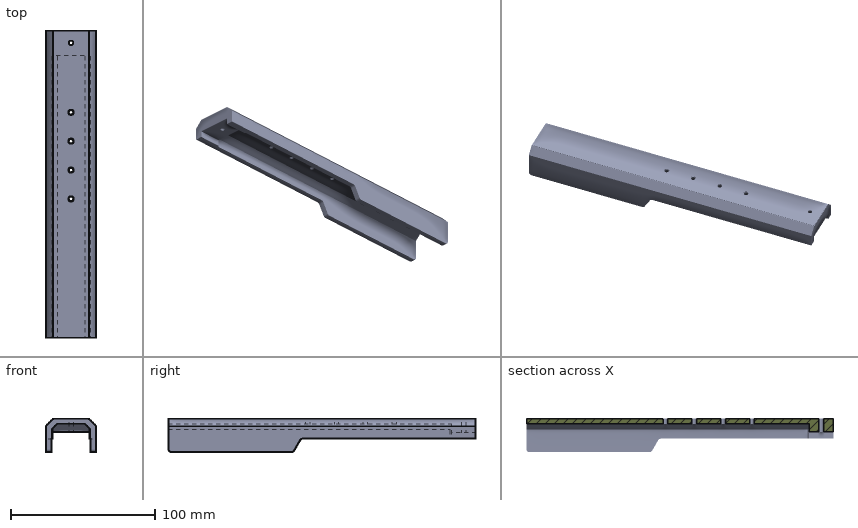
import cadquery as cq
import math

LENGTH = 213.0
WIDTH = 35.0
HEIGHT = 23.29
PAD_THICKNESS = 0.2
BODY_HEIGHT = HEIGHT - PAD_THICKNESS

WALL = 4.0
ROOF = 3.79
EDGE_CHAMFER = 5.0
INNER_CHAMFER = 3.8

SHALLOW_HEIGHT = 14.0
STEP_START_Y = -14.5
STEP_ANGLE = 60.0
STEP_RADIUS = 2.0
FRONT_CORNER_RADIUS = 2.0

END_BLOCK_LENGTH = 17.0
END_SLOT_WIDTH = 25.0
END_ROOF = 9.5

PAD_INSET = 0.2
PAD_HOLE_DIAMETER = 3.8

HOLE_DIAMETER = 3.0
END_HOLE_FROM_REAR = 8.5
FIRST_ROW_HOLE_FROM_REAR = 56.6
ROW_HOLE_PITCH = 20.0
ROW_HOLE_COUNT = 4

FRONT_Y = -LENGTH / 2
REAR_Y = LENGTH / 2
SHALLOW_Z = HEIGHT - SHALLOW_HEIGHT
STEP_END_Y = STEP_START_Y - SHALLOW_Z / math.tan(math.radians(STEP_ANGLE))
PAD_WIDTH = WIDTH - 2 * (EDGE_CHAMFER + PAD_INSET)
PAD_LENGTH = LENGTH - 2 * PAD_INSET
CAVITY_WIDTH = WIDTH - 2 * WALL
ROW_HOLE_POINTS = [
    (0, REAR_Y - FIRST_ROW_HOLE_FROM_REAR - i * ROW_HOLE_PITCH)
    for i in range(ROW_HOLE_COUNT)
]
HOLE_POINTS = [(0, REAR_Y - END_HOLE_FROM_REAR)] + ROW_HOLE_POINTS


def nearest_to(y, z):
    """Selector for the crosswise edge closest to a point of the side profile."""
    return cq.selectors.NearestToPointSelector((0, y, z))


def outer_body():
    """Solid bar with the stepped side profile and chamfered top edges."""
    body = (
        cq.Workplane("YZ")
        .polyline([
            (FRONT_Y, 0),
            (STEP_END_Y, 0),
            (STEP_START_Y, SHALLOW_Z),
            (REAR_Y, SHALLOW_Z),
            (REAR_Y, BODY_HEIGHT),
            (FRONT_Y, BODY_HEIGHT),
        ])
        .close()
        .extrude(WIDTH / 2, both=True)
    )
    body = body.edges(nearest_to(FRONT_Y, 0)).fillet(FRONT_CORNER_RADIUS)
    body = body.edges(nearest_to(STEP_END_Y, 0)).fillet(STEP_RADIUS)
    body = body.edges(nearest_to(STEP_START_Y, SHALLOW_Z)).fillet(STEP_RADIUS)
    return body.edges("|Y and >Z").chamfer(EDGE_CHAMFER)


def top_pad():
    """Thin raised pad with wider openings around the row of holes."""
    return (
        cq.Workplane("XY")
        .workplane(offset=BODY_HEIGHT)
        .rect(PAD_WIDTH, PAD_LENGTH)
        .pushPoints(ROW_HOLE_POINTS)
        .circle(PAD_HOLE_DIAMETER / 2)
        .extrude(PAD_THICKNESS)
    )


def channel_cavity():
    """Front channel, tapering at its rear end to the width of the end slot."""
    cavity_length = LENGTH - END_BLOCK_LENGTH
    cavity = (
        cq.Workplane("XY")
        .box(CAVITY_WIDTH, cavity_length, HEIGHT - ROOF, centered=(True, False, False))
        .translate((0, FRONT_Y, 0))
    )
    corner_chamfer = (CAVITY_WIDTH - END_SLOT_WIDTH) / 2
    cavity = cavity.edges("|Z and >Y").chamfer(corner_chamfer)
    return cavity.cut(cavity_corner(1)).cut(cavity_corner(-1))


def cavity_corner(side):
    """Triangular prism along one upper side of the cavity that stays solid."""
    wall_x = side * CAVITY_WIDTH / 2
    ceiling_z = HEIGHT - ROOF
    return (
        cq.Workplane("XZ")
        .polyline([
            (wall_x, ceiling_z),
            (wall_x, ceiling_z - INNER_CHAMFER),
            (wall_x - side * INNER_CHAMFER, ceiling_z),
        ])
        .close()
        .extrude(LENGTH / 2, both=True)
    )


def end_slot():
    """Slot that relieves the rear block from below."""
    return cq.Workplane("XY").box(
        END_SLOT_WIDTH, LENGTH, HEIGHT - END_ROOF, centered=(True, True, False)
    )


def screw_holes():
    """Vertical through holes along the centreline."""
    return cq.Workplane("XY").pushPoints(HOLE_POINTS).circle(HOLE_DIAMETER / 2).extrude(HEIGHT)


result = outer_body().union(top_pad())
result = result.cut(channel_cavity()).cut(end_slot()).cut(screw_holes())